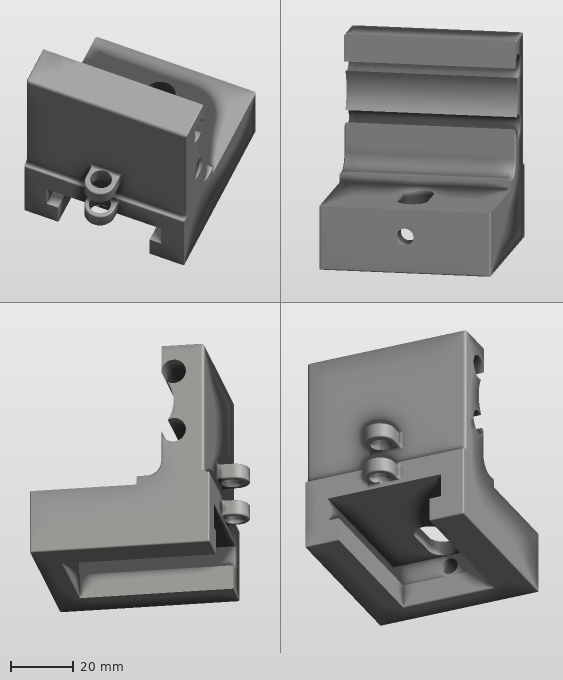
import cadquery as cq
import math

width = 56.0
height = 68.0

rear_length = 34.9
step_length = 8.0
wall_thickness = 14.0
front_ledge = 1.7
rear_height = 21.0
step_height = 24.0

cove_radius = 5.0
ledge_fillet = 1.0
wall_fillet = 1.0
edge_fillet = 0.5

rod_radius = 4.0
rod_spacing = 20.0
groove_center_z = 49.0
scallop_radius = 12.0
scallop_depth = 4.0

tee_width = 40.0
neck_width = 32.0
tee_floor_z = 8.0
tee_roof_z = 16.0
neck_depth = 50.0
head_depth = 51.0
rear_hole_diameter = 5.5

oblong_width = 10.0
oblong_length = 20.5
oblong_rear_gap = 8.0

lug_radius = 5.0
lug_hole_radius = 3.5
lug_thickness = 5.0
lug_reach = 3.2
upper_bore_reach = 4.0
lug_spacing = 12.5
lower_lug_z = 17.5
lug_fillet = 1.0
embed_depth = 0.5

wall_front_y = front_ledge
wall_rear_y = wall_front_y + wall_thickness
step_end_y = wall_rear_y + step_length
base_rear_y = step_end_y + rear_length
rod_y = wall_rear_y - rod_radius
upper_rod_z = groove_center_z + rod_spacing / 2
lower_rod_z = groove_center_z - rod_spacing / 2
lug_axis_y = -lug_reach
upper_lug_z = lower_lug_z + lug_spacing
cove_top_z = step_height + cove_radius
tiny = 0.05


def box(x_size, y_start, y_end, z_start, z_end):
    """Block centred on X = 0 between the given Y and Z limits."""
    block = cq.Workplane("XY").box(x_size, y_end - y_start, z_end - z_start, centered=(True, False, False))
    return block.translate((0, y_start, z_start))


def fillet_edges(body, ranges, radius):
    """Fillet every edge lying inside one of the given (X range, Y range, Z range) boxes."""
    edges = []
    for limits in ranges:
        low = [start - tiny for start, end in limits]
        high = [end + tiny for start, end in limits]
        edges += body.edges(cq.selectors.BoxSelector(low, high, boundingbox=True)).vals()
    return body.newObject(edges).fillet(radius)


def make_body():
    """Side profile of base, step and wall, extruded across the full width."""
    diagonal = cove_radius * math.sqrt(0.5)
    cove_middle = (wall_rear_y + cove_radius - diagonal, cove_top_z - diagonal)
    profile = (
        cq.Workplane("YZ")
        .moveTo(0, 0)
        .lineTo(base_rear_y, 0)
        .lineTo(base_rear_y, rear_height)
        .lineTo(step_end_y, rear_height)
        .lineTo(step_end_y, step_height)
        .lineTo(wall_rear_y + cove_radius, step_height)
        .threePointArc(cove_middle, (wall_rear_y, cove_top_z))
        .lineTo(wall_rear_y, height)
        .lineTo(wall_front_y, height)
        .lineTo(wall_front_y, step_height)
        .lineTo(0, step_height)
        .close()
    )
    return profile.extrude(width / 2, both=True)


def rod_grooves():
    """Two rod grooves and the scallop joining them, cut across the whole width."""
    def bar(y, z, radius):
        return cq.Workplane("YZ").center(y, z).circle(radius).extrude(width, both=True)

    scallop_y = wall_rear_y - scallop_depth + scallop_radius
    mouth_depth = rod_radius / 4
    cutter = bar(scallop_y, groove_center_z, scallop_radius)
    mouth = box(2 * width, wall_rear_y - mouth_depth, wall_rear_y + mouth_depth, lower_rod_z, upper_rod_z)
    cutter = cutter.union(mouth)
    for rod_z in (lower_rod_z, upper_rod_z):
        cutter = cutter.union(bar(rod_y, rod_z, rod_radius))
    return cutter


def tee_slot():
    """T-shaped slot open to the front and the underside, closed at the rear, with a hole behind."""
    head = box(tee_width, 0, head_depth, tee_floor_z, tee_roof_z)
    neck = box(neck_width, 0, neck_depth, 0, tee_floor_z)
    middle_z = (tee_floor_z + tee_roof_z) / 2
    hole = cq.Workplane("XZ").center(0, middle_z).circle(rear_hole_diameter / 2).extrude(-base_rear_y)
    return head.union(neck).union(hole)


def oblong_hole():
    """Upright oblong hole through the rear part of the base into the slot."""
    middle_y = base_rear_y - oblong_rear_gap - oblong_length / 2
    hole = cq.Workplane("XY", origin=(0, middle_y, tee_roof_z)).slot2D(oblong_length, oblong_width, 90)
    return hole.extrude(rear_height - tee_roof_z)


def round_outside(body):
    """Round the outer edges of the base and the wall, before the slot and lugs are added."""
    half = width / 2
    sides = [(-half, -half), (half, half)]
    full_x = (-half, half)
    front = (0, 0)
    rear = (base_rear_y, base_rear_y)
    bottom = (0, 0)
    step = (step_height, step_height)
    top = (height, height)
    wall_front = (wall_front_y, wall_front_y)

    wall_edges = [(full_x, wall_front, top)]
    wall_edges += [(side, wall_front, (step_height, height)) for side in sides]
    ledge_edges = [(full_x, wall_front, step)]
    base_edges = [(full_x, front, step), (full_x, front, bottom), (full_x, rear, bottom)]
    wall_top_edges = []
    cove_edges = []
    for side in sides:
        base_edges.append((side, front, (0, step_height)))
        base_edges.append((side, rear, (0, rear_height)))
        base_edges.append((side, (0, base_rear_y), bottom))
        wall_top_edges.append((side, (wall_front_y, wall_rear_y), top))
        cove_edges.append((side, (wall_rear_y, step_end_y), (step_height, lower_rod_z)))

    body = fillet_edges(body, wall_top_edges, edge_fillet)
    body = fillet_edges(body, wall_edges, wall_fillet)
    body = fillet_edges(body, base_edges, edge_fillet)
    body = fillet_edges(body, cove_edges, edge_fillet)
    return fillet_edges(body, ledge_edges, ledge_fillet)


def round_neck_end(body):
    """Round the bottom edge of the closed end of the slot neck."""
    half = neck_width / 2
    end_edge = ((-half, half), (neck_depth, neck_depth), (0, 0))
    return fillet_edges(body, [end_edge], edge_fillet)


def lug(mount_y, underside_z):
    """Round-ended lug on the face at mount_y, flared at its root and embedded into that face."""
    flare_width = 2 * (lug_radius + lug_fillet)
    flare_bottom = underside_z - lug_fillet
    flare_top = underside_z + lug_thickness + lug_fillet
    plate_rear_y = mount_y + embed_depth
    outline = (
        cq.Workplane("XY", origin=(0, 0, underside_z))
        .moveTo(lug_radius, plate_rear_y)
        .lineTo(lug_radius, lug_axis_y)
        .threePointArc((0, lug_axis_y - lug_radius), (-lug_radius, lug_axis_y))
        .lineTo(-lug_radius, plate_rear_y)
        .close()
    )
    margin = lug_fillet
    plate = box(flare_width + 2 * margin, mount_y, plate_rear_y, flare_bottom - margin, flare_top + margin)
    body = plate.union(outline.extrude(lug_thickness))

    lug_x = (-lug_radius, lug_radius)
    root = [(lug_x, (mount_y, mount_y), (underside_z, underside_z + lug_thickness))]
    body = fillet_edges(body, root, lug_fillet)
    lug_y = (lug_axis_y - lug_radius, mount_y - lug_fillet)
    rims = [(lug_x, lug_y, (z, z)) for z in (underside_z, underside_z + lug_thickness)]
    body = fillet_edges(body, rims, edge_fillet)
    return body.intersect(box(flare_width, lug_axis_y - lug_radius, plate_rear_y, flare_bottom, flare_top))


def lower_lug():
    """Lug on the base; its flare is left out at the top left and along the bottom right."""
    chord = math.sqrt(lug_hole_radius**2 - lug_reach**2)
    outer_x = lug_radius + lug_fillet
    lug_top_z = lower_lug_z + lug_thickness
    trim_length = lug_fillet + embed_depth
    top_left = cq.Workplane("XY").box(outer_x - chord, trim_length, lug_fillet, centered=False)
    top_left = top_left.translate((-outer_x, -lug_fillet, lug_top_z))
    bottom_right = cq.Workplane("XY").box(outer_x + chord, trim_length, lug_fillet, centered=False)
    bottom_right = bottom_right.translate((-chord, -lug_fillet, lower_lug_z - lug_fillet))
    return lug(0, lower_lug_z).cut(top_left).cut(bottom_right)


def bore(axis_y, bottom_z, top_z):
    """Upright pin hole between two heights."""
    hole = cq.Workplane("XY", origin=(0, axis_y, bottom_z)).circle(lug_hole_radius)
    return hole.extrude(top_z - bottom_z)


def lug_bores():
    """Pin holes of both lugs; the lower one also grooves the base face up to the ledge."""
    flare_height = lug_thickness + 2 * lug_fillet
    upper_start_z = upper_lug_z - lug_fillet
    upper = bore(wall_front_y - upper_bore_reach, upper_start_z, upper_start_z + flare_height)
    lower = bore(lug_axis_y, lower_lug_z, step_height + ledge_fillet)
    return upper.union(lower)


result = make_body().cut(rod_grooves())
result = round_outside(result)
result = result.cut(tee_slot()).cut(oblong_hole())
result = round_neck_end(result)
result = result.union(lower_lug()).union(lug(wall_front_y, upper_lug_z))
result = result.cut(lug_bores())